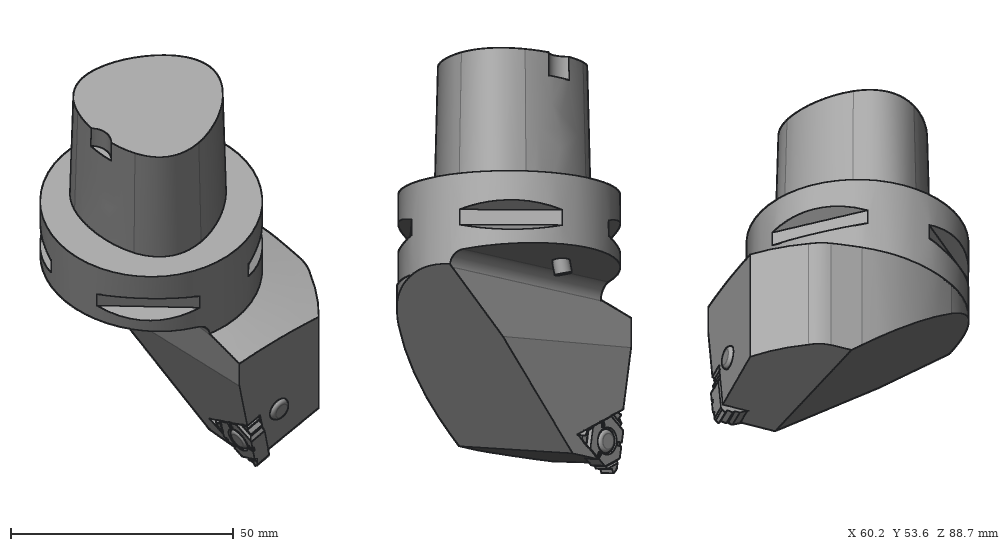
import cadquery as cq
import math

SHANK_LENGTH = 30.0
SHANK_RADIUS = 17.5
SHANK_LOBE = 1.15
SHANK_TAPER = 0.025
SHANK_PATCHES = 6
PATCH_SAMPLES = 8
KEYWAY_RADIUS = 4.5
KEYWAY_DEPTH = 5.4
KEYWAY_Y = -18.55

FLANGE_RADIUS = 25.0
FLANGE_HEIGHT = 21.5
GRIP_DISTANCE = 22.16
GRIP_FLAT_HEIGHT = 3.5
GRIP_Z = -10.1
GRIP_WALL_ANGLE = 30.0
GRIP_ANGLES = (45, 135, 225, 315)

HEAD_SIDE_X = 34.3
HEAD_FRONT_Y = -5.05
HEAD_BACK_Y = 28.64
HEAD_BOTTOM_Z = -62.0
BACK_ARC_RADIUS = 45.0
BACK_FLAT_END_X = 18.5
BACK_CORNER = (23.3, 27.15)
BACK_CORNER_MIDDLE = (21.0, 28.22)
BACK_SIDE_MIDDLE = (28.2, 24.35)
BACK_SIDE_END_Y = 19.5
SHOULDER_Z = -21.0
CONE_ANGLE = 15.0
CONE_REACH = 50.0
LEFT_CUT_POINT = (-25.0, -20.2)
LEFT_CUT_ANGLE = 39.0
END_POINT = (-0.85, -56.5)
RAKE_ANGLE = 10.0
SIDE_TILT = 1.0
RAKE_START_Z = -30.4
TRIM_SIZE = 200.0
OVERCUT = 1.0
BULGE_START_ANGLE = 160.0
BULGE = 0.3
BULGE_MIDDLE = 0.24

RELIEF_EDGE_Z = -16.1
RELIEF_SLOPE = 5.0

NOZZLE_DIAMETER = 4.0
NOZZLE_TIP = (2.86, -14.2, -20.1)
NOZZLE_TILT = 15.0
NOZZLE_LENGTH = 7.0
NOZZLE_CHAMFER = 0.3

INSERT_X = 30.15
INSERT_Z = -52.07
INSERT_INRADIUS = 4.76
HALF_CORNER_ANGLE = 30.0
POCKET_DEPTH = 4.0
INSERT_RISE = 0.25
INSERT_THICKNESS = POCKET_DEPTH + INSERT_RISE
CORNER_DROP = 0.5
CORNER_RAMP_START = 5.1
CORNER_RAMP_END = 6.1
CHIP_GROOVE_DISTANCE = 5.6
CHIP_GROOVE_DROP = 0.8
CORNER_REACH = 10.0
TOOTH_PROFILE = ((5.5, -1.65), (6.27, -1.42), (6.69, -0.13), (7.76, -0.1), (7.5, 0.86))
RELIEF_EDGE_DISTANCE = 4.9
TOOTH_EDGE_DISTANCE = 7.16
CORNER_ANGLES = (-60, 60, 180)
NOTCH_WIDTH = 0.85
NOTCH_LENGTH = 1.3
NOTCH_DEPTH = 0.5
COUNTERSINK = 0.35

SCREW_HEAD_DIAMETER = 5.45
SCREW_HEAD_ROUND = 0.95
SIDE_SCREW_YZ = (7.05, -45.2)
SIDE_SCREW_TIP_X = 35.22
SIDE_SCREW_DEPTH = 1.0
INSERT_SCREW_RISE = 0.5

rake_slope = math.tan(math.radians(RAKE_ANGLE))
tilt_slope = math.tan(math.radians(SIDE_TILT))


def rake_y(x, z):
    """Y of the rake face at a given X and Z."""
    return HEAD_FRONT_Y + tilt_slope * (x - HEAD_SIDE_X) - rake_slope * (z - RAKE_START_Z)


rake_plane = cq.Plane(
    origin=(INSERT_X, rake_y(INSERT_X, INSERT_Z), INSERT_Z),
    xDir=(1, tilt_slope, 0),
    normal=(tilt_slope, -1, -rake_slope),
)
insert_plane = cq.Plane(
    origin=rake_plane.toWorldCoords((0, 0, INSERT_RISE)),
    xDir=rake_plane.xDir,
    normal=rake_plane.zDir,
)


def shank_wire(radius, z):
    """Rounded triangle with one lobe toward +Y, made of equal spline patches."""
    def point(turn):
        across = radius * math.sin(turn) - SHANK_LOBE * math.sin(2 * turn)
        along = radius * math.cos(turn) + SHANK_LOBE * math.cos(2 * turn)
        return cq.Vector(across, along, z)

    step = 2 * math.pi / SHANK_PATCHES
    edges = []
    for patch in range(SHANK_PATCHES):
        start = (patch + 0.5) * step
        points = [point(start + step * i / PATCH_SAMPLES) for i in range(PATCH_SAMPLES + 1)]
        edges.append(cq.Edge.makeSpline(points))
    return cq.Wire.assembleEdges(edges)


def make_shank():
    top_radius = SHANK_RADIUS - SHANK_TAPER * SHANK_LENGTH
    base = shank_wire(SHANK_RADIUS, 0)
    top = shank_wire(top_radius, SHANK_LENGTH)
    shank = cq.Workplane(obj=cq.Solid.makeLoft([base, top], True))
    keyway = (
        cq.Workplane("XY", origin=(0, KEYWAY_Y, SHANK_LENGTH))
        .circle(KEYWAY_RADIUS)
        .extrude(-KEYWAY_DEPTH)
    )
    return shank.cut(keyway)


def make_flange():
    flange = cq.Workplane("XY").circle(FLANGE_RADIUS).extrude(-FLANGE_HEIGHT)
    outer = FLANGE_RADIUS + OVERCUT
    half_flat = GRIP_FLAT_HEIGHT / 2
    half_mouth = half_flat + (outer - GRIP_DISTANCE) * math.tan(math.radians(GRIP_WALL_ANGLE))
    groove = (
        cq.Workplane("XZ", origin=(0, 0, GRIP_Z))
        .polyline([
            (GRIP_DISTANCE, -half_flat),
            (outer, -half_mouth),
            (outer, half_mouth),
            (GRIP_DISTANCE, half_flat),
        ])
        .close()
        .extrude(FLANGE_RADIUS, both=True)
    )
    for angle in GRIP_ANGLES:
        flange = flange.cut(groove.rotate((0, 0, 0), (0, 0, 1), angle))
    return flange


def make_head():
    round_radius = FLANGE_RADIUS + BULGE
    centre_y = HEAD_BACK_Y - BACK_ARC_RADIUS
    centre_gap = BACK_ARC_RADIUS - round_radius
    centre_x = math.sqrt(centre_gap ** 2 - centre_y ** 2)
    touch = (-centre_x * round_radius / centre_gap, -centre_y * round_radius / centre_gap)
    touch_angle = math.atan2(touch[1], touch[0])
    start_angle = math.radians(BULGE_START_ANGLE)
    bulge_angle = (touch_angle + start_angle) / 2
    bulge_radius = FLANGE_RADIUS + BULGE_MIDDLE
    bulge_middle = (bulge_radius * math.cos(bulge_angle), bulge_radius * math.sin(bulge_angle))
    bulge_start = (FLANGE_RADIUS * math.cos(start_angle), FLANGE_RADIUS * math.sin(start_angle))
    middle_angle = (math.atan2(touch[1] - centre_y, touch[0] - centre_x) + math.pi / 2) / 2
    back_middle = (
        centre_x + BACK_ARC_RADIUS * math.cos(middle_angle),
        centre_y + BACK_ARC_RADIUS * math.sin(middle_angle),
    )
    front_x = -math.sqrt(FLANGE_RADIUS ** 2 - HEAD_FRONT_Y ** 2)
    head = (
        cq.Workplane("XY")
        .moveTo(front_x, HEAD_FRONT_Y)
        .lineTo(HEAD_SIDE_X, HEAD_FRONT_Y)
        .lineTo(HEAD_SIDE_X, BACK_SIDE_END_Y)
        .threePointArc(BACK_SIDE_MIDDLE, BACK_CORNER)
        .threePointArc(BACK_CORNER_MIDDLE, (BACK_FLAT_END_X, HEAD_BACK_Y))
        .lineTo(centre_x, HEAD_BACK_Y)
        .threePointArc(back_middle, touch)
        .threePointArc(bulge_middle, bulge_start)
        .threePointArc((-FLANGE_RADIUS, 0), (front_x, HEAD_FRONT_Y))
        .close()
        .extrude(HEAD_BOTTOM_Z)
    )
    cone_drop = (CONE_REACH - FLANGE_RADIUS) * math.tan(math.radians(CONE_ANGLE))
    shoulder = (
        cq.Workplane("XZ")
        .polyline([
            (0, SHOULDER_Z),
            (FLANGE_RADIUS, SHOULDER_Z),
            (CONE_REACH, SHOULDER_Z - cone_drop),
            (CONE_REACH, HEAD_BOTTOM_Z),
            (0, HEAD_BOTTOM_Z),
        ])
        .close()
        .revolve(360, (0, 0, 0), (0, 1, 0))
    )
    rake_trim = cq.Workplane(rake_plane).rect(TRIM_SIZE, TRIM_SIZE).extrude(TRIM_SIZE)
    end_plane = cq.Plane(origin=(0, *END_POINT), xDir=(1, 0, 0), normal=(0, rake_slope, -1))
    end_trim = cq.Workplane(end_plane).rect(TRIM_SIZE, TRIM_SIZE).extrude(TRIM_SIZE)
    return head.intersect(shoulder).cut(rake_trim).cut(end_trim)


def make_left_trim():
    turn = math.radians(LEFT_CUT_ANGLE)
    plane = cq.Plane(
        origin=(LEFT_CUT_POINT[0], 0, LEFT_CUT_POINT[1]),
        xDir=(0, 1, 0),
        normal=(-math.sin(turn), 0, -math.cos(turn)),
    )
    return cq.Workplane(plane).rect(TRIM_SIZE, TRIM_SIZE).extrude(TRIM_SIZE)


def make_relief():
    """Chip space under the flange, its inner corner rounded down to the flange bottom."""
    slope = math.tan(math.radians(RELIEF_SLOPE))
    outer_y = -FLANGE_RADIUS - OVERCUT
    outer_z = RELIEF_EDGE_Z + slope * OVERCUT
    inner_z = RELIEF_EDGE_Z - slope * (HEAD_FRONT_Y + FLANGE_RADIUS)
    floor_z = -FLANGE_HEIGHT - OVERCUT
    fillet_radius = inner_z + FLANGE_HEIGHT
    return (
        cq.Workplane("YZ")
        .polyline([
            (outer_y, floor_z),
            (HEAD_FRONT_Y, floor_z),
            (HEAD_FRONT_Y, inner_z),
            (outer_y, outer_z),
        ])
        .close()
        .extrude(FLANGE_RADIUS + OVERCUT, both=True)
        .edges("|X")
        .edges(cq.NearestToPointSelector((0, HEAD_FRONT_Y, inner_z)))
        .fillet(fillet_radius)
    )


def make_nozzle():
    turn = math.radians(NOZZLE_TILT)
    plane = cq.Plane(
        origin=NOZZLE_TIP,
        xDir=(0, 1, 0),
        normal=(-math.sin(turn), 0, math.cos(turn)),
    )
    return (
        cq.Workplane(plane)
        .circle(NOZZLE_DIAMETER / 2)
        .extrude(NOZZLE_LENGTH)
        .faces("<Z")
        .chamfer(NOZZLE_CHAMFER)
    )


def make_screw_head(plane, tip, depth):
    """Round-edged head ending 'tip' above the plane and reaching 'depth' below it."""
    top_centre = plane.toWorldCoords((0, 0, tip)).toTuple()
    return (
        cq.Workplane(plane)
        .workplane(offset=-depth)
        .circle(SCREW_HEAD_DIAMETER / 2)
        .extrude(depth + tip)
        .edges(cq.NearestToPointSelector(top_centre))
        .fillet(SCREW_HEAD_ROUND)
    )


def make_pocket():
    """Triangular seat of the insert, open to the rake face."""
    corners = [corner_point(angle, 2 * INSERT_INRADIUS, 0) for angle in CORNER_ANGLES]
    return cq.Workplane(rake_plane).polyline(corners).close().extrude(-POCKET_DEPTH)


def corner_point(angle, along, across):
    """Point in the rake plane from distances along and across a corner bisector."""
    turn = math.radians(angle)
    return (
        along * math.cos(turn) - across * math.sin(turn),
        along * math.sin(turn) + across * math.cos(turn),
    )


def edge_offset(along):
    """Half width of the insert triangle at a distance along a corner bisector."""
    return (2 * INSERT_INRADIUS - along) * math.tan(math.radians(HALF_CORNER_ANGLE))


def make_holder():
    side_plane = cq.Plane(origin=(HEAD_SIDE_X, *SIDE_SCREW_YZ), xDir=(0, 1, 0), normal=(1, 0, 0))
    side_screw = make_screw_head(side_plane, SIDE_SCREW_TIP_X - HEAD_SIDE_X, SIDE_SCREW_DEPTH)
    insert_screw = make_screw_head(rake_plane, INSERT_SCREW_RISE, POCKET_DEPTH)
    return (
        make_flange()
        .union(make_head())
        .cut(make_left_trim())
        .cut(make_relief())
        .cut(make_pocket())
        .union(make_shank())
        .union(make_nozzle())
        .union(side_screw)
        .union(insert_screw)
    )


def make_insert():
    outline = []
    for angle in CORNER_ANGLES:
        outline.append(corner_point(angle, RELIEF_EDGE_DISTANCE, -edge_offset(RELIEF_EDGE_DISTANCE)))
        outline += [corner_point(angle, along, across) for along, across in TOOTH_PROFILE]
        outline.append(corner_point(angle, TOOTH_EDGE_DISTANCE, edge_offset(TOOTH_EDGE_DISTANCE)))
    insert = (
        cq.Workplane(insert_plane)
        .polyline(outline)
        .close()
        .extrude(-INSERT_THICKNESS)
        .cut(cq.Workplane(insert_plane).circle(SCREW_HEAD_DIAMETER / 2).extrude(-INSERT_THICKNESS))
    )
    countersink = cq.Workplane(obj=cq.Solid.makeCone(
        SCREW_HEAD_DIAMETER / 2 + COUNTERSINK,
        SCREW_HEAD_DIAMETER / 2,
        COUNTERSINK,
        insert_plane.origin,
        -insert_plane.zDir,
    ))
    insert = insert.cut(countersink)

    local_ramp = (
        cq.Workplane("XZ")
        .polyline([
            (CORNER_RAMP_START, 0),
            (CHIP_GROOVE_DISTANCE, -CHIP_GROOVE_DROP),
            (CORNER_RAMP_END, -CORNER_DROP),
            (CORNER_REACH, -CORNER_DROP),
            (CORNER_REACH, 0),
        ])
        .close()
        .extrude(INSERT_INRADIUS, both=True)
    )
    local_notch = (
        cq.Workplane("XY")
        .center(INSERT_INRADIUS - NOTCH_LENGTH / 2, 0)
        .rect(NOTCH_LENGTH, NOTCH_WIDTH)
        .extrude(-NOTCH_DEPTH)
    )
    for angle in CORNER_ANGLES:
        ramp = local_ramp.rotate((0, 0, 0), (0, 0, 1), angle)
        notch = local_notch.rotate((0, 0, 0), (0, 0, 1), angle + 180)
        for cutter in (ramp, notch):
            insert = insert.cut(cq.Workplane(obj=cutter.val().moved(cq.Location(insert_plane))))
    return insert


holder = make_holder()
insert = make_insert()
result = cq.Compound.makeCompound([holder.solids().val(), insert.solids().val()])